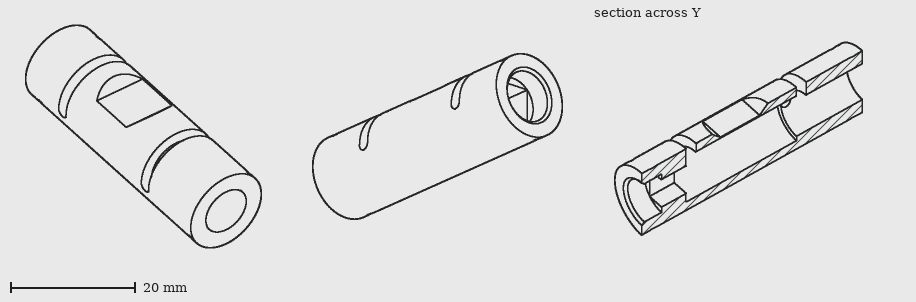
import cadquery as cq

LENGTH = 45.0
OUTER_DIAMETER = 14.0
OUTER_RADIUS = OUTER_DIAMETER / 2

LEFT_BORE_DIAMETER = 8.5
LEFT_MOUTH_DIAMETER = 9.5
RIGHT_BORE_DIAMETER = 8.0
CHAMBER_DIAMETER = 10.0
SQUARE_SIDE = 6.1

SLOT_WIDTH = 2.0
SLOT_CENTERS = (10.05, 32.55)
SLOT_BOTTOM = -1.0
SLOT_RADIUS = SLOT_WIDTH / 2

SQUARE_START = 4.0
SQUARE_END = SLOT_CENTERS[0] - SLOT_RADIUS
CHAMBER_END = SLOT_CENTERS[1] - SLOT_RADIUS

GROOVE_WIDTH = 1.5
GROOVE_DEPTH = 0.1
GROOVE_STARTS = (1.55, 42.5)

FLAT_CENTER = 20.02
FLAT_LENGTH = 8.0
FLAT_DEPTH = 1.65


def cylinder(start, length, diameter):
    """Solid cylinder on the sleeve axis."""
    return cq.Workplane("YZ", origin=(start, 0, 0)).circle(diameter / 2).extrude(length)


def ring_groove(start):
    """Ring to remove from the outside, with a shallow arc for its floor."""
    end = start + GROOVE_WIDTH
    middle = start + GROOVE_WIDTH / 2
    section = (
        cq.Workplane("XY")
        .moveTo(start, OUTER_RADIUS)
        .threePointArc((middle, OUTER_RADIUS - GROOVE_DEPTH), (end, OUTER_RADIUS))
        .lineTo(end, OUTER_DIAMETER)
        .lineTo(start, OUTER_DIAMETER)
        .close()
    )
    return section.revolve(360, (0, 0, 0), (1, 0, 0))


def cross_slot(center):
    """Slot with a round bottom, through the full width."""
    left = center - SLOT_RADIUS
    right = center + SLOT_RADIUS
    arc_end = SLOT_BOTTOM + SLOT_RADIUS
    outline = (
        cq.Workplane("XZ")
        .moveTo(left, OUTER_DIAMETER)
        .lineTo(left, arc_end)
        .threePointArc((center, SLOT_BOTTOM), (right, arc_end))
        .lineTo(right, OUTER_DIAMETER)
        .close()
    )
    return outline.extrude(OUTER_RADIUS, both=True)


def top_flat():
    """Trapezoid cut that leaves a flat with sloping ends."""
    half_floor = FLAT_LENGTH / 2
    half_top = half_floor + FLAT_DEPTH
    outline = (
        cq.Workplane("XZ", origin=(FLAT_CENTER, 0, 0))
        .moveTo(-half_floor, OUTER_RADIUS - FLAT_DEPTH)
        .lineTo(half_floor, OUTER_RADIUS - FLAT_DEPTH)
        .lineTo(half_top, OUTER_RADIUS)
        .lineTo(-half_top, OUTER_RADIUS)
        .close()
    )
    return outline.extrude(OUTER_RADIUS, both=True)


result = cylinder(0, LENGTH, OUTER_DIAMETER)

result = result.cut(cylinder(0, SQUARE_START, LEFT_BORE_DIAMETER))
result = result.cut(cylinder(SQUARE_END, CHAMBER_END - SQUARE_END, CHAMBER_DIAMETER))
socket = cq.Workplane("YZ", origin=(SQUARE_START, 0, 0)).rect(SQUARE_SIDE, SQUARE_SIDE)
result = result.cut(socket.extrude(SQUARE_END - SQUARE_START))
result = result.cut(cylinder(CHAMBER_END, LENGTH - CHAMBER_END, RIGHT_BORE_DIAMETER))
mouth_chamfer = (LEFT_MOUTH_DIAMETER - LEFT_BORE_DIAMETER) / 2
mouth_edge = cq.selectors.RadiusNthSelector(0)
result = result.faces("<X").edges(mouth_edge).chamfer(mouth_chamfer)

for groove_start in GROOVE_STARTS:
    result = result.cut(ring_groove(groove_start))
for slot_center in SLOT_CENTERS:
    result = result.cut(cross_slot(slot_center))
result = result.cut(top_flat())